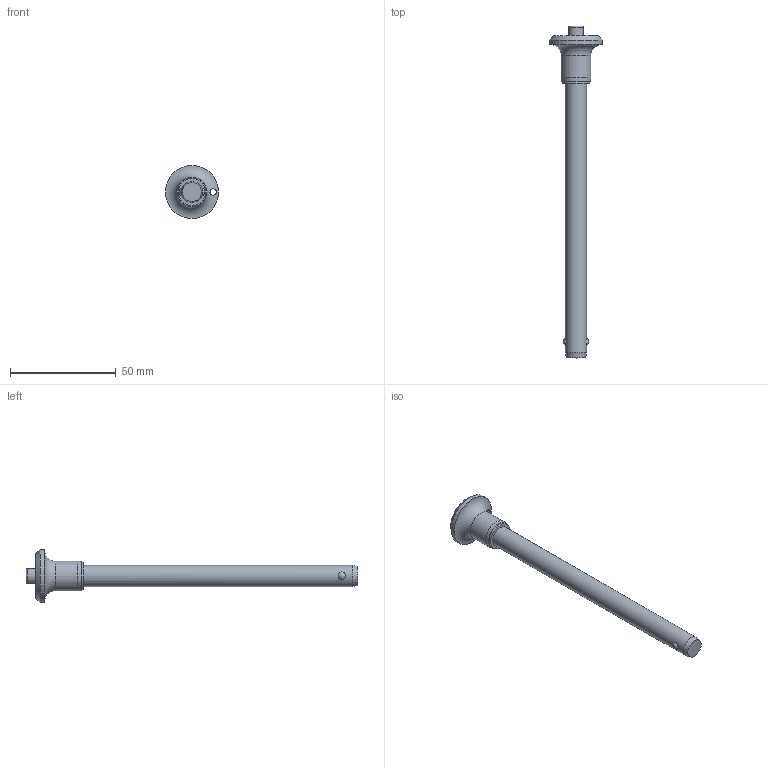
import cadquery as cq
import math


overall_length = 156.9

shank_radius = 5.0
tip_radius = 4.5
tip_taper_length = 2.4

ball_radius = 2.0
ball_reach = 6.0
ball_to_tip = 7.7

collar_radius = 6.5
collar_length = 1.0
grip_radius = 7.0
grip_taper_end_radius = 6.9
grip_taper_length = 1.7
grip_length = 12.0
flare_length = 5.4
rim_radius = 12.5
rim_width = 1.9
head_bevel_length = 2.3
head_bevel_depth = 2.0

button_radius = 3.5
button_height = 4.5
button_rounding = 0.5

lanyard_hole_diameter = 3.0
lanyard_hole_offset = 10.0

grip_start = collar_length
grip_end = grip_start + grip_length
rim_start = grip_end + flare_length
rim_end = rim_start + rim_width
head_top = rim_end + head_bevel_length
button_top = head_top + button_height
tip_end = button_top - overall_length


def flare_midpoint():
    """Middle of the concave arc that leaves the grip tangentially and ends on the rim."""
    rise = rim_radius - grip_radius
    arc_radius = (rise**2 + flare_length**2) / (2 * rise)
    half_angle = math.atan2(flare_length, arc_radius - rise) / 2
    radius = grip_radius + arc_radius * (1 - math.cos(half_angle))
    station = grip_end + arc_radius * math.sin(half_angle)
    return radius, station


def make_pin_body():
    """Shank, handle and button as one profile turned about the Y axis."""
    return (
        cq.Workplane("XY")
        .moveTo(0, tip_end)
        .lineTo(tip_radius, tip_end)
        .lineTo(shank_radius, tip_end + tip_taper_length)
        .lineTo(shank_radius, 0)
        .lineTo(collar_radius, 0)
        .lineTo(collar_radius, grip_start)
        .lineTo(grip_taper_end_radius, grip_start)
        .lineTo(grip_radius, grip_start + grip_taper_length)
        .lineTo(grip_radius, grip_end)
        .threePointArc(flare_midpoint(), (rim_radius, rim_start))
        .lineTo(rim_radius, rim_end)
        .lineTo(rim_radius - head_bevel_depth, head_top)
        .lineTo(button_radius, head_top)
        .lineTo(button_radius, button_top - button_rounding)
        .radiusArc((button_radius - button_rounding, button_top), -button_rounding)
        .lineTo(0, button_top)
        .close()
        .revolve(360, (0, 0, 0), (0, 1, 0))
    )


def make_locking_ball(side):
    """Ball on the +X (side = 1) or -X (side = -1) flank of the shank."""
    center = (side * (ball_reach - ball_radius), tip_end + ball_to_tip, 0)
    return cq.Workplane("XY").sphere(ball_radius).translate(center)


def make_lanyard_hole():
    """Cutter parallel to the axis, passing through the flare and the head."""
    return (
        cq.Workplane("XZ", origin=(lanyard_hole_offset, head_top, 0))
        .circle(lanyard_hole_diameter / 2)
        .extrude(head_top - grip_end)
    )


result = make_pin_body()
for side in (-1, 1):
    result = result.union(make_locking_ball(side))
result = result.cut(make_lanyard_hole())